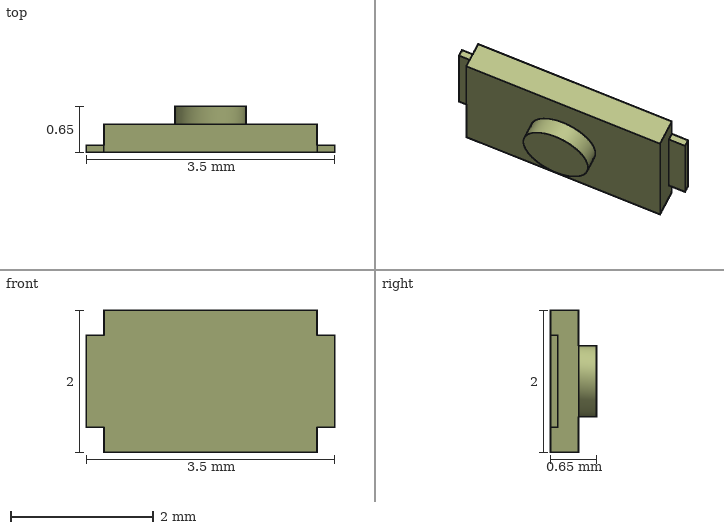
import cadquery as cq

overall_length = 3.5
overall_depth = 0.65
body_length = 3.0
body_height = 2.0
body_depth = 0.4
tab_height = 1.3
tab_depth = 0.1
button_diameter = 1.0

button_height = overall_depth - body_depth


def plate(length, depth, height):
    """Plate centred in X and Z, with its flat mounting face at Y = 0."""
    return cq.Workplane("XY").box(length, depth, height, centered=(True, False, True))


body = plate(body_length, body_depth, body_height)

tabs = plate(overall_length, tab_depth, tab_height)

button = (
    body.faces(">Y")
    .workplane(centerOption="CenterOfBoundBox")
    .circle(button_diameter / 2)
    .extrude(button_height, combine=False)
)

result = body.union(tabs).union(button)